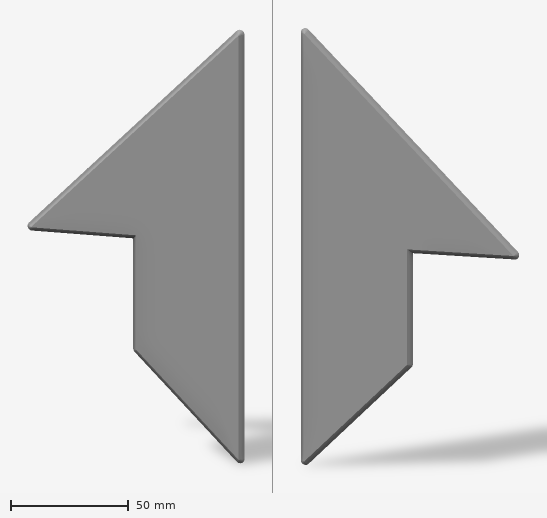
import cadquery as cq

height = 191.5
width = 95.8
thickness = 4.0

edge_angle = 45
half_thickness = thickness / 2
edge_reach = half_thickness

face_right = width / 2 - edge_reach
face_left = -face_right
face_top = height / 2 - edge_reach
face_bottom = -face_top
notch_x = 0.8
notch_z = face_top - (face_right - face_left)
heel_z = face_bottom + (face_right - notch_x)

face_corners = [
    (face_right, face_bottom),
    (face_right, face_top),
    (face_left, notch_z),
    (notch_x, notch_z),
    (notch_x, heel_z),
]


def flared_half():
    """Half plate from the front face to the mid-plane, with conical outer corners."""
    return (
        cq.Workplane("XZ", origin=(0, -half_thickness, 0))
        .polyline(face_corners)
        .close()
        .extrude(-half_thickness, taper=-edge_angle)
    )


front_half = flared_half()
back_half = front_half.mirror("XZ")
result = front_half.union(back_half)